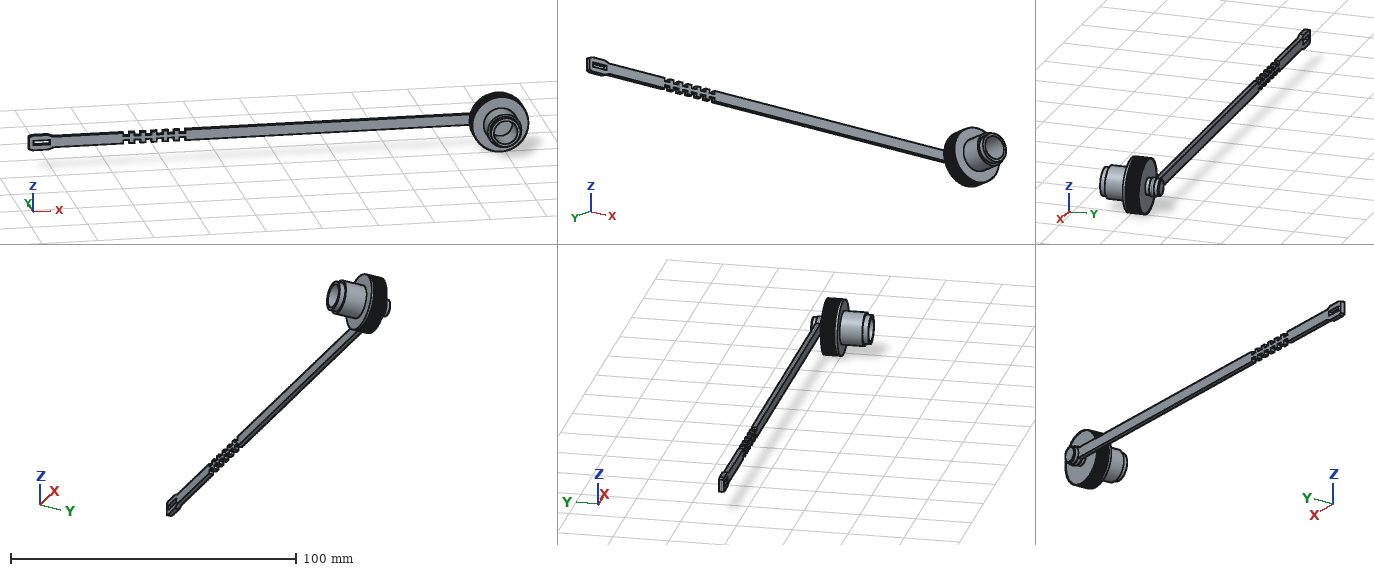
import cadquery as cq
import math

overall_length = 176.68

flange_diameter = 20.0
flange_thickness = 6.0
flange_rim = 1.0
knurl_count = 110
knurl_depth = 0.25

barrel_diameter = 12.0
barrel_length = 8.0
tip_diameter = 10.4
tip_length = 2.0
bore_diameter = 8.4

stud_diameter = 6.2
stud_length = 5.0
stud_chamfer = 0.4
neck_diameter = 3.8

strap_width = 4.0
strap_thickness = 1.7
strap_back_gap = 1.75
strap_draft_angle = 6.0
eye_diameter = 7.0
tab_length = 8.8
tab_width = 5.5
tab_taper = 2.0
tab_nose_length = 1.3
tab_nose_drop = 0.5
slot_length = 6.0
slot_width = 1.6
slot_end_offset = 1.6

notch_start_offset = 33.7
tooth_count = 5
tooth_length = 2.0
gap_length = 2.0
web_width = 1.6

strap_end_x = flange_diameter / 2 - overall_length
flange_front_y = -flange_thickness
strap_back_y = stud_length - strap_back_gap
strap_middle_y = strap_back_y - strap_thickness / 2
strap_front_y = strap_back_y - strap_thickness


def disc(diameter, start_y, length):
    """Cylinder on the cap axis, running from start_y toward -Y."""
    plane = cq.Workplane("XZ", origin=(0, start_y, 0))
    return plane.circle(diameter / 2).extrude(length)


def drafted_plate(outline):
    """Plate with the outline on the parting plane, narrowing by the draft angle to both faces."""
    front = outline.extrude(strap_thickness / 2, taper=strap_draft_angle)
    back = front.mirror("XZ", (0, strap_middle_y, 0))
    return front.union(back)


def strap_plane():
    """Workplane on the parting plane, halfway through the strap."""
    return cq.Workplane("XZ", origin=(0, strap_middle_y, 0))


def make_flange():
    """Disc with V grooves around its edge and a plain rim at the front."""
    tip_radius = flange_diameter / 2
    root_radius = tip_radius - knurl_depth
    points = []
    for index in range(2 * knurl_count):
        radius = tip_radius if index % 2 == 0 else root_radius
        angle = math.pi * index / knurl_count
        points.append((radius * math.cos(angle), radius * math.sin(angle)))
    knurled_length = flange_thickness - flange_rim
    knurl = cq.Workplane("XZ").polyline(points).close().extrude(knurled_length)
    rim = disc(flange_diameter, -knurled_length, flange_rim)
    return knurl.union(rim)


def make_barrel():
    """Barrel and stepped tip, bored from the open end down to the flange."""
    tip_start_y = flange_front_y - barrel_length
    barrel = disc(barrel_diameter, flange_front_y, barrel_length)
    tip = disc(tip_diameter, tip_start_y, tip_length)
    bore = disc(bore_diameter, flange_front_y, barrel_length + tip_length)
    return barrel.union(tip).cut(bore)


def make_stud():
    """Stud with a narrow neck where the strap eye sits."""
    head = disc(stud_diameter, stud_length, strap_back_gap)
    head = head.faces(">Y").edges().chamfer(stud_chamfer)
    neck = disc(neck_diameter, strap_back_y, strap_thickness)
    base = disc(stud_diameter, strap_front_y, strap_front_y)
    return head.union(neck).union(base)


def notched_edge():
    """Upper edge of the strap stretch where gaps and teeth alternate."""
    half_band = strap_width / 2
    half_web = web_width / 2
    points = []
    for index in range(tooth_count + 1):
        gap_start_x = strap_end_x + notch_start_offset + index * (tooth_length + gap_length)
        gap_end_x = gap_start_x + gap_length
        points += [
            (gap_start_x, half_band),
            (gap_start_x, half_web),
            (gap_end_x, half_web),
            (gap_end_x, half_band),
        ]
    return points


def make_strap():
    """Band from the widened, slotted end tab to the eye around the stud neck."""
    half_band = strap_width / 2
    half_tab = tab_width / 2
    tab_end_x = strap_end_x + tab_length
    tab_edge = [
        (strap_end_x, half_tab - tab_nose_drop),
        (strap_end_x + tab_nose_length, half_tab),
        (tab_end_x - tab_taper, half_tab),
        (tab_end_x, half_band),
    ]
    upper_edge = tab_edge + notched_edge() + [(0, half_band)]
    lower_edge = [(x, -z) for x, z in reversed(upper_edge)]
    band = drafted_plate(strap_plane().polyline(upper_edge + lower_edge).close())
    eye = drafted_plate(strap_plane().circle(eye_diameter / 2))
    slot_center_x = strap_end_x + slot_end_offset + slot_length / 2
    slot = strap_plane().center(slot_center_x, 0).rect(slot_length, slot_width)
    return band.union(eye).cut(slot.extrude(strap_thickness / 2, both=True))


result = make_flange().union(make_barrel()).union(make_stud()).union(make_strap())